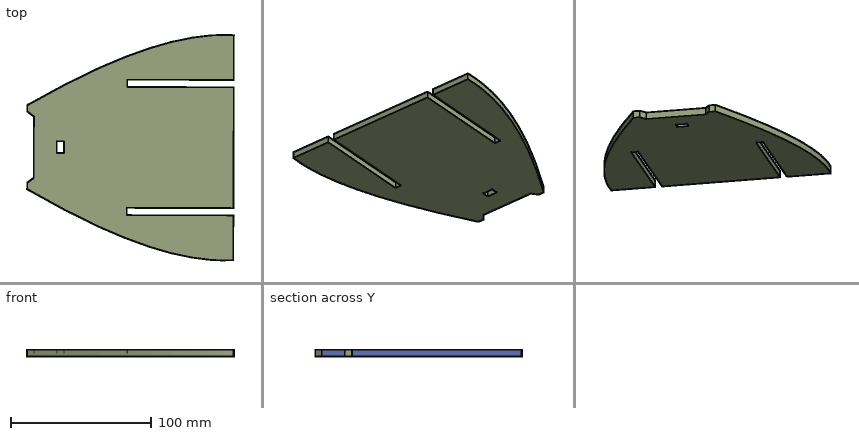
import cadquery as cq

thickness = 5.0
length = 147.36
half_width = 80.35
plate_tilt = -0.15

tip_outer_y = 30.0
tip_inner_y = 25.4
recess_depth = 4.7
recess_half_width = 21.8

narrow_handle = (54.0, 61.0)
wide_handle = (105.0, 82.8)

slot_width = 5.0
slot_length = 76.0
slot_offset = 45.7

window_length = 5.0
window_width = 8.2
window_x = 23.8


def make_plate():
    """Symmetric plate with curved sides and a recessed narrow end, centred on the X axis."""
    half = (
        cq.Workplane("XY")
        .moveTo(recess_depth, 0)
        .lineTo(recess_depth, recess_half_width)
        .lineTo(0, tip_inner_y)
        .lineTo(0, tip_outer_y)
        .bezier([(0, tip_outer_y), narrow_handle, wide_handle, (length, half_width)])
        .lineTo(length, 0)
        .close()
        .extrude(thickness)
    )
    return half.union(half.mirror("XZ")).clean()


def make_slot(side):
    """Cutter for one open-ended slot; side is +1 or -1 along Y."""
    return (
        cq.Workplane("XY")
        .center(length - slot_length / 2, side * slot_offset)
        .rect(slot_length, slot_width)
        .extrude(thickness)
    )


def make_window():
    """Cutter for the rectangular through window."""
    return (
        cq.Workplane("XY")
        .center(window_x, 0)
        .rect(window_length, window_width)
        .extrude(thickness)
    )


plate = make_plate().cut(make_window())
for side in (1, -1):
    plate = plate.cut(make_slot(side))

result = plate.rotate((0, 0, 0), (0, 0, 1), plate_tilt)